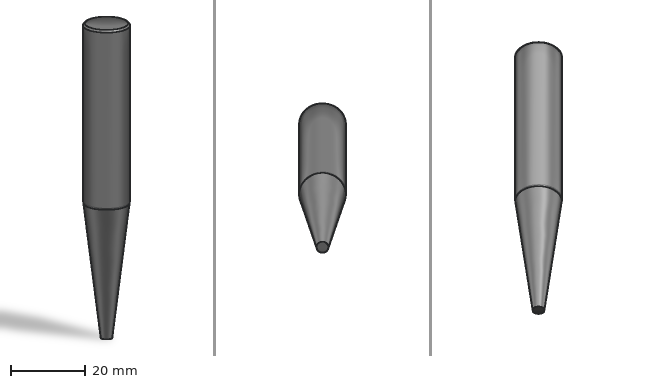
import cadquery as cq

total_length = 88.9
diameter = 12.7
tip_diameter = 3.2

shank_length = 50.8
chamfer_height = 0.6
chamfer_inset = 0.5

bevel_height = 0.5
bevel_inset = 0.1

radius = diameter / 2
tip_radius = tip_diameter / 2
joint_radius = radius - bevel_inset
top_z = total_length / 2
tip_z = -total_length / 2
joint_z = top_z - shank_length


def revolve_profile(points):
    """Turn a closed radius-height outline about the Z axis."""
    outline = cq.Workplane("XZ").polyline(points).close()
    return outline.revolve(360, (0, 0), (0, 1))


def make_shank():
    """Round shank with a chamfered top edge and a slightly tapered lower edge."""
    return revolve_profile([
        (0, joint_z),
        (joint_radius, joint_z),
        (radius, joint_z + bevel_height),
        (radius, top_z - chamfer_height),
        (radius - chamfer_inset, top_z),
        (0, top_z),
    ])


def make_point():
    """Tapered point with a flat tip, meeting the shank at a flat joint."""
    return revolve_profile([
        (0, tip_z),
        (tip_radius, tip_z),
        (joint_radius, joint_z),
        (0, joint_z),
    ])


shank = make_shank()
point = make_point()

result = cq.Compound.makeCompound([shank.val(), point.val()])